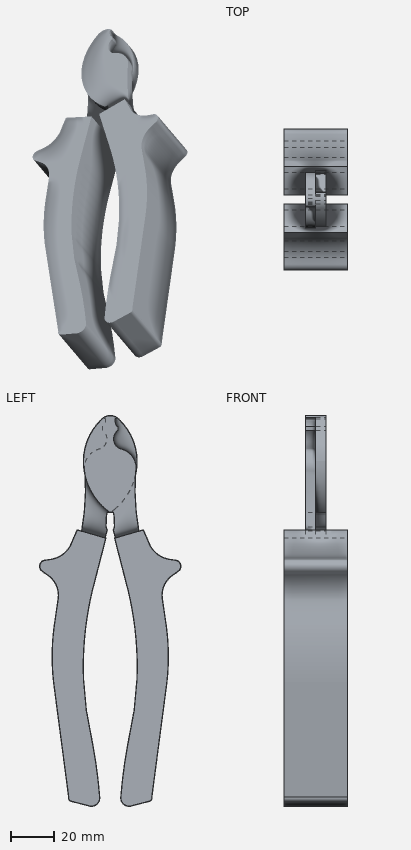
import cadquery as cq
import math


total_height = 180.48
total_depth = 65.23
handle_width = 29.49
jaw_thickness = 4.75

tip_radius = 5.5
tip_edge_y = 3.1
tip_back_y = -4.1
notch_y = 2.3
notch_top_z = 178.9
notch_bottom_z = 177.4
notch_mid = (2.65, 176.15)
notch_end = (3.5, 175.3)

hook_start_z = 173.6
hook_mid = (1.6, 169.0)
hook_end = (5.4, 164.9)
bulge_mid = (9.8, 162.1)
bulge_end = (11.7, 154.4)

shank_outer_mid = (11.6, 141.7)
shank_outer_end = (13.3, 126.8)
shank_buried_outer = (13.6, 124.0)
shank_buried_inner = (4.0, 118.0)
shank_inner_waist = (1.35, 127.6)
shank_inner_bend = (1.9, 129.1)
shank_inner_top = (1.7, 134.5)
throat_z = 135.8
throat_inner_y = 1.3
throat_back_y = -0.4

back_lower_mid = (-7.2, 142.8)
back_widest = (-12.45, 159.3)
back_upper_mid = (-9.9, 170.6)

handle_inner_top = (2.0, 123.8)
handle_shoulder = (15.3, 127.7)
guard_hollow_start = (17.6, 122.4)
guard_hollow_mid = (21.5, 116.7)
guard_hollow_end = (27.4, 114.1)
guard_nose_start = (30.1, 113.7)
guard_nose_tip = (total_depth / 2, 110.87)
guard_nose_end = (31.2, 108.4)
guard_under_start = (29.6, 107.2)
guard_under_mid = (25.8, 103.6)
guard_under_end = (24.1, 95.9)

grip_outer_start = (25.6, 85.5)
grip_outer_end = (26.2, 57.2)
grip_outer_bulge = 0.95
grip_outer_facets = 15

end_outer_start = (19.25, 4.3)
end_outer_mid = (19.0, 2.9)
end_outer_finish = (18.1, 2.3)
end_inner_start = (10.2, 0.28)
end_lowest = (8.74, 0)
end_inner_finish = (4.8, 4.0)

grip_flare_mid = (6.05, 16.0)
grip_flare_end = (7.9, 27.8)
grip_inner_bend = (11.0, 44.4)
grip_inner_start = (12.3, 58.7)
grip_inner_end = (8.15, 99.9)
grip_inner_bulge = 1.42
grip_inner_facets = 9


def facet_points(start, end, bulge, count):
    """Points after start that split the arc to end, bulging towards +Y, into facets."""
    chord = math.dist(start, end)
    radius = ((chord / 2) ** 2 + bulge**2) / (2 * bulge)
    half_angle = math.asin(chord / (2 * radius))
    along_y = (end[0] - start[0]) / chord
    along_z = (end[1] - start[1]) / chord
    side = math.copysign(1, along_z)
    points = []
    for i in range(1, count + 1):
        angle = half_angle * (2 * i / count - 1)
        travel = chord / 2 + radius * math.sin(angle)
        rise = side * radius * (math.cos(angle) - math.cos(half_angle))
        y = start[0] + travel * along_y + rise * along_z
        z = start[1] + travel * along_z - rise * along_y
        points.append((y, z))
    return points


def tip_point(y):
    """Point at y on the rounded tip, whose top is at the pliers' full height."""
    return (y, total_height - tip_radius + math.sqrt(tip_radius**2 - y**2))


def make_jaw():
    """Flat jaw with its round back, cutting edge and the shank that enters the handle."""
    outline = (
        cq.Workplane("YZ")
        .moveTo(*tip_point(tip_back_y))
        .threePointArc(tip_point(0), tip_point(tip_edge_y))
        .lineTo(notch_y, notch_top_z)
        .lineTo(notch_y, notch_bottom_z)
        .threePointArc(notch_mid, notch_end)
        .lineTo(notch_end[0], hook_start_z)
        .threePointArc(hook_mid, hook_end)
        .threePointArc(bulge_mid, bulge_end)
        .threePointArc(shank_outer_mid, shank_outer_end)
        .lineTo(*shank_buried_outer)
        .lineTo(*shank_buried_inner)
        .lineTo(*shank_inner_waist)
        .lineTo(*shank_inner_bend)
        .lineTo(*shank_inner_top)
        .lineTo(throat_inner_y, throat_z)
        .lineTo(throat_back_y, throat_z)
        .threePointArc(back_lower_mid, back_widest)
        .threePointArc(back_upper_mid, tip_point(tip_back_y))
        .close()
    )
    return outline.extrude(jaw_thickness)


def make_handle():
    """Curved grip with a finger guard near its top."""
    outline = (
        cq.Workplane("YZ")
        .moveTo(*handle_inner_top)
        .lineTo(*handle_shoulder)
        .lineTo(*guard_hollow_start)
        .threePointArc(guard_hollow_mid, guard_hollow_end)
        .lineTo(*guard_nose_start)
        .threePointArc(guard_nose_tip, guard_nose_end)
        .lineTo(*guard_under_start)
        .threePointArc(guard_under_mid, guard_under_end)
        .lineTo(*grip_outer_start)
    )
    for point in facet_points(grip_outer_start, grip_outer_end, grip_outer_bulge, grip_outer_facets):
        outline = outline.lineTo(*point)
    outline = (
        outline
        .lineTo(*end_outer_start)
        .threePointArc(end_outer_mid, end_outer_finish)
        .lineTo(*end_inner_start)
        .threePointArc(end_lowest, end_inner_finish)
        .threePointArc(grip_flare_mid, grip_flare_end)
        .lineTo(*grip_inner_bend)
        .lineTo(*grip_inner_start)
    )
    for point in facet_points(grip_inner_start, grip_inner_end, grip_inner_bulge, grip_inner_facets):
        outline = outline.lineTo(*point)
    return outline.close().extrude(handle_width / 2, both=True)


half = make_jaw().union(make_handle())
other_half = half.rotate((0, 0, 0), (0, 0, 1), 180)
result = half.union(other_half, clean=False)